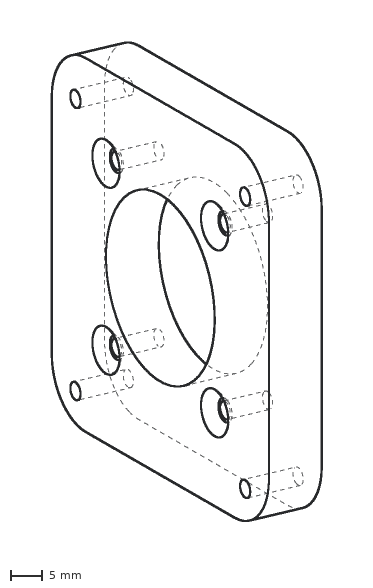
import cadquery as cq

plate_side = 64.0
plate_thickness = 10.0
corner_radius = 10.0

bore_diameter = 32.0

corner_hole_diameter = 3.0
corner_hole_spacing = 50.0
corner_hole_drop = 1.0

screw_hole_diameter = 3.0
screw_hole_spacing = 32.0
sink_mouth_diameter = 8.0
sink_floor_diameter = 4.0
sink_depth = (sink_mouth_diameter - sink_floor_diameter) / 2

front_y = -plate_thickness / 2


def square_pattern(spacing):
    """Return the four (x, z) corners of a centred square."""
    half = spacing / 2
    return [(x, z) for x in (-half, half) for z in (-half, half)]


def make_plate():
    """Return the rounded square plate, centred on the origin."""
    blank = cq.Workplane("XY").box(plate_side, plate_thickness, plate_side)
    return blank.edges("|Y").fillet(corner_radius)


def through_hole(x, z, diameter):
    """Return a cylinder along Y that spans the plate thickness."""
    start = cq.Vector(x, front_y, z)
    return cq.Solid.makeCylinder(diameter / 2, plate_thickness, start, cq.Vector(0, 1, 0))


def conical_sink(x, z):
    """Return the cone that narrows from the front face into the plate."""
    mouth = cq.Vector(x, front_y, z)
    return cq.Solid.makeCone(
        sink_mouth_diameter / 2, sink_floor_diameter / 2, sink_depth, mouth, cq.Vector(0, 1, 0)
    )


result = make_plate().cut(through_hole(0, 0, bore_diameter))

for x, z in square_pattern(corner_hole_spacing):
    result = result.cut(through_hole(x, z - corner_hole_drop, corner_hole_diameter))

for x, z in square_pattern(screw_hole_spacing):
    result = result.cut(through_hole(x, z, screw_hole_diameter))
    result = result.cut(conical_sink(x, z))